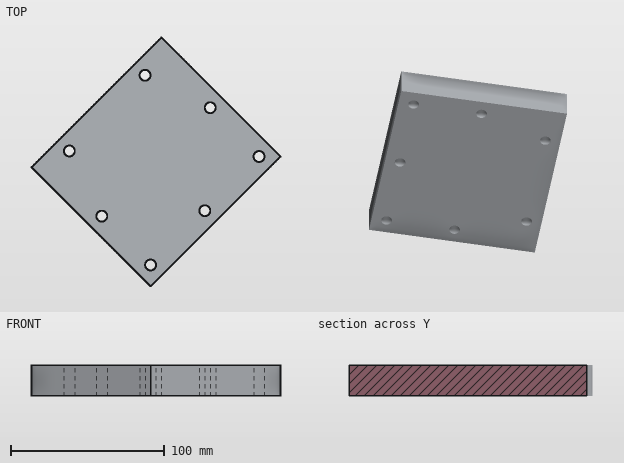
import cadquery as cq
import math

outer_span = 162.6
plate_length = 120.0
plate_width = outer_span * math.sqrt(2) - plate_length
plate_thickness = 20.0
turn_angle = 45.0

hole_diameter = 7.0
edge_inset = 10.0
pair_spacing = 70.0

end_x = plate_length / 2 - edge_inset
side_y = plate_width / 2 - edge_inset
pair_x = pair_spacing / 2

hole_centers = [
    (-pair_x, side_y),
    (pair_x, side_y),
    (-end_x, 0),
    (end_x, 0),
    (-end_x, -side_y),
    (0, -side_y),
    (end_x, -side_y),
]

plate = cq.Workplane("XY").box(plate_length, plate_width, plate_thickness, centered=(True, True, False))
drilled_plate = plate.faces(">Z").workplane().pushPoints(hole_centers).hole(hole_diameter)

result = drilled_plate.rotate((0, 0, 0), (0, 0, 1), turn_angle)